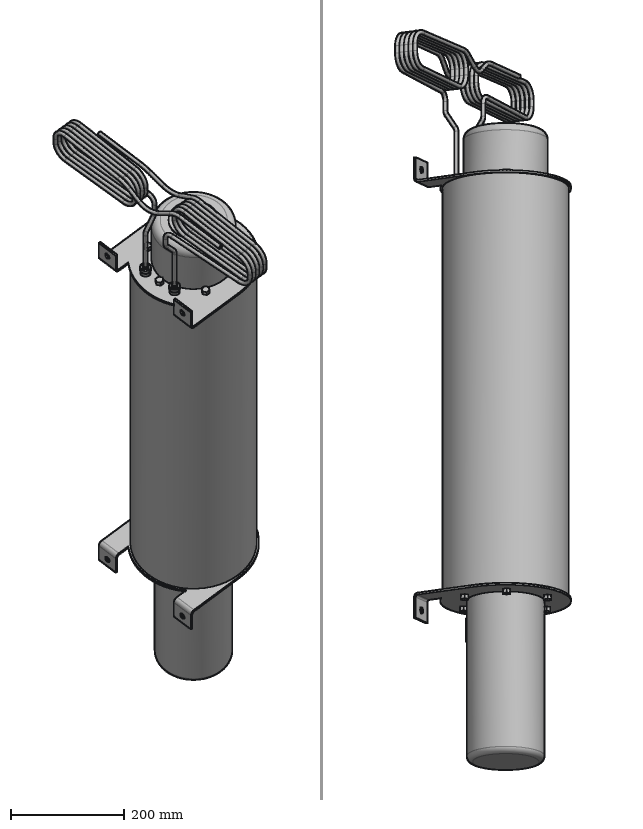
import cadquery as cq
import math

OVERALL_HEIGHT = 1301.0

BARREL_DIAMETER = 224.0
BARREL_BOTTOM = 297.0
BARREL_TOP = 1046.0
TUBE_DIAMETER = 138.0
TUBE_FOOT_RADIUS = 10.0
CAP_DIAMETER = 150.0
CAP_TOP = 1150.0
CAP_EDGE_RADIUS = 15.0
CAP_RECESS_DIAMETER = 88.0
CAP_RECESS_DEPTH = 1.0

PLATE_THICKNESS = 4.0
PLATE_RADIUS = 116.0
TAB_FACE_Y = -121.0
TAB_WIDTH = 43.0
TAB_HEIGHT = 45.0
TAB_HOLE_DIAMETER = 11.0
TAB_HOLE_HEIGHT = 27.0
BEND_INNER_RADIUS = 4.0
BEND_OUTER_RADIUS = BEND_INNER_RADIUS + PLATE_THICKNESS

BOLT_COUNT = 6
BOLT_CIRCLE_RADIUS = 85.0
BOLT_FLATS = 13.0
BOLT_HEAD_HEIGHT = 8.0

GLAND_STEPS = [(18.0, 8.0), (20.0, 8.0), (12.0, 4.0)]
GLAND_X = 34.0
GLAND_SHIFT_Y = 3.0

CABLE_DIAMETER = 8.0
CABLE_AXIS_Y = -83.0
COIL_TURNS = 5
COIL_PITCH = 9.0
COIL_FAR_X = 233.0
COIL_NEAR_X = 39.0
COIL_HEIGHT = 65.0
COIL_CORNER_RADIUS = 26.0
COIL_START_Y = 12.0
LEG_OFFSET_Y = 20.0
LEG_BEND_BOTTOM = 1157.0
LEG_BEND_TOP = 1189.0
LEG_BEND_RADIUS = 13.0
LEG_TURN_RADIUS = 15.0
CROSSOVER_Y = -29.0
CROSSOVER_DIP = 35.0
CROSSOVER_X = 56.0
CROSSOVER_RADIUS = 39.0
DIP_RADIUS = 39.0
TAIL_Y = -17.0
TAIL_END_X = 169.0
RIGHT_COIL_DROP = 7.0
LEFT_COIL_TOP = OVERALL_HEIGHT - CABLE_DIAMETER / 2
RIGHT_COIL_TOP = LEFT_COIL_TOP - RIGHT_COIL_DROP

plate_top = BARREL_TOP + PLATE_THICKNESS
gland_height = sum(height for _, height in GLAND_STEPS)


def cylinder(diameter, bottom, top, x=0.0, y=0.0):
    return cq.Workplane("XY", origin=(x, y, bottom)).circle(diameter / 2).extrude(top - bottom)


def make_tab():
    """One bent tab at the left front corner, rising from a plate whose underside is z = 0."""
    strip = (
        cq.Workplane("YZ", origin=(-PLATE_RADIUS, 0, 0))
        .moveTo(0, 0)
        .lineTo(TAB_FACE_Y + BEND_OUTER_RADIUS, 0)
        .radiusArc((TAB_FACE_Y, BEND_OUTER_RADIUS), BEND_OUTER_RADIUS)
        .lineTo(TAB_FACE_Y, TAB_HEIGHT)
        .lineTo(TAB_FACE_Y + PLATE_THICKNESS, TAB_HEIGHT)
        .lineTo(TAB_FACE_Y + PLATE_THICKNESS, BEND_OUTER_RADIUS)
        .radiusArc((TAB_FACE_Y + BEND_OUTER_RADIUS, PLATE_THICKNESS), -BEND_INNER_RADIUS)
        .lineTo(0, PLATE_THICKNESS)
        .close()
        .extrude(TAB_WIDTH)
    )
    hole = (
        cq.Workplane("XZ", origin=(TAB_WIDTH / 2 - PLATE_RADIUS, 0, TAB_HOLE_HEIGHT))
        .circle(TAB_HOLE_DIAMETER / 2)
        .extrude(-TAB_FACE_Y)
    )
    return strip.cut(hole)


def make_end_plate():
    """Round plate with two tabs and a ring of bolt heads; underside at z = 0, tabs pointing up."""
    tab = make_tab()
    plate = cylinder(2 * PLATE_RADIUS, 0, PLATE_THICKNESS).union(tab).union(tab.mirror("YZ"))
    bolts = (
        cq.Workplane("XY")
        .polarArray(BOLT_CIRCLE_RADIUS, 90, 360, BOLT_COUNT, rotate=False)
        .eachpoint(lambda place: make_bolt_head().moved(place))
    )
    return plate.union(bolts)


def make_bolt_head():
    corner_diameter = BOLT_FLATS / math.cos(math.pi / 6)
    head = cq.Workplane("XY").polygon(6, corner_diameter).extrude(PLATE_THICKNESS + BOLT_HEAD_HEIGHT)
    return head.rotate((0, 0, 0), (0, 0, 1), 90).val()


def make_gland(side):
    """Stepped gland; side is -1 on the left and +1 on the right."""
    gland = cq.Workplane("XY")
    bottom = plate_top
    for diameter, height in GLAND_STEPS:
        y = CABLE_AXIS_Y + side * GLAND_SHIFT_Y
        gland = gland.union(cylinder(diameter, bottom, bottom + height, side * GLAND_X, y))
        bottom += height
    return gland


def make_housing():
    barrel = cylinder(BARREL_DIAMETER, BARREL_BOTTOM, BARREL_TOP)
    tube = cylinder(TUBE_DIAMETER, 0, BARREL_BOTTOM).faces("<Z").edges().fillet(TUBE_FOOT_RADIUS)
    cap = cylinder(CAP_DIAMETER, BARREL_TOP, CAP_TOP).faces(">Z").edges().fillet(CAP_EDGE_RADIUS)
    cap = cap.cut(cylinder(CAP_RECESS_DIAMETER, CAP_TOP - CAP_RECESS_DEPTH, CAP_TOP))
    upper_plate = make_end_plate().translate((0, 0, BARREL_TOP))
    lower_plate = make_end_plate().mirror("XY").translate((0, 0, BARREL_BOTTOM))
    housing = barrel.union(tube).union(cap).union(upper_plate).union(lower_plate)
    for side in (-1, 1):
        housing = housing.union(make_gland(side))
    return housing


def coil_corners(coil_top):
    """Corners (outward x, offset y, z) of the winding, from the near bottom to the last near top corner.

    The winding moves half a pitch along y on each long run and none on the upright ends.
    """
    coil_bottom = coil_top - COIL_HEIGHT
    corners = []
    for turn in range(COIL_TURNS):
        near_y = COIL_START_Y - turn * COIL_PITCH
        far_y = near_y - COIL_PITCH / 2
        corners += [
            (COIL_NEAR_X, near_y, coil_bottom),
            (COIL_FAR_X, far_y, coil_bottom),
            (COIL_FAR_X, far_y, coil_top),
            (COIL_NEAR_X, near_y - COIL_PITCH, coil_top),
        ]
    return corners


def rounded_path(corners):
    """Wire through (point, bend radius) corners: straight runs joined by tangent arcs."""
    edges = []
    start = corners[0][0]
    for (before, _), (corner, radius), (after, _) in zip(corners, corners[1:], corners[2:]):
        backward = (before - corner).normalized()
        forward = (after - corner).normalized()
        half_angle = backward.getAngle(forward) / 2
        setback = radius / math.tan(half_angle)
        arc_start = corner + backward * setback
        arc_end = corner + forward * setback
        bisector = (backward + forward).normalized()
        arc_middle = corner + bisector * (radius / math.sin(half_angle) - radius)
        edges.append(cq.Edge.makeLine(start, arc_start))
        edges.append(cq.Edge.makeThreePointArc(arc_start, arc_middle, arc_end))
        start = arc_end
    edges.append(cq.Edge.makeLine(start, corners[-1][0]))
    return cq.Wire.assembleEdges(edges)


def make_cable(side):
    """Leg, coil and crossover to the other coil; side is -1 on the left and +1 on the right.

    The two cables are half a turn apart about the cable axis, but the right coil lies lower.
    """
    own_top, other_top = LEFT_COIL_TOP, RIGHT_COIL_TOP
    if side > 0:
        own_top, other_top = other_top, own_top
    own_bottom = own_top - COIL_HEIGHT
    _, *winding, (_, last_y, _) = coil_corners(own_top)
    leg_foot = (GLAND_X, -GLAND_SHIFT_Y, plate_top + gland_height)
    path = [
        (leg_foot, 0),
        ((GLAND_X, -GLAND_SHIFT_Y, LEG_BEND_BOTTOM), LEG_BEND_RADIUS),
        ((GLAND_X, LEG_OFFSET_Y, LEG_BEND_TOP), LEG_BEND_RADIUS),
        ((GLAND_X, LEG_OFFSET_Y, own_bottom), LEG_TURN_RADIUS),
        *[(corner, COIL_CORNER_RADIUS) for corner in winding],
        ((CROSSOVER_X, last_y, own_top), CROSSOVER_RADIUS),
        ((0, CROSSOVER_Y, other_top - CROSSOVER_DIP), DIP_RADIUS),
        ((-CROSSOVER_X, TAIL_Y, other_top), CROSSOVER_RADIUS),
        ((-TAIL_END_X, TAIL_Y, other_top), 0),
    ]
    placed = [(cq.Vector(side * x, CABLE_AXIS_Y - side * y, z), radius) for (x, y, z), radius in path]
    section = cq.Workplane("XY", origin=placed[0][0].toTuple()).circle(CABLE_DIAMETER / 2)
    return section.sweep(cq.Workplane(obj=rounded_path(placed)))


housing = make_housing()
cables = [make_cable(side) for side in (-1, 1)]

result = cq.Compound.makeCompound([housing.val(), *[cable.val() for cable in cables]])